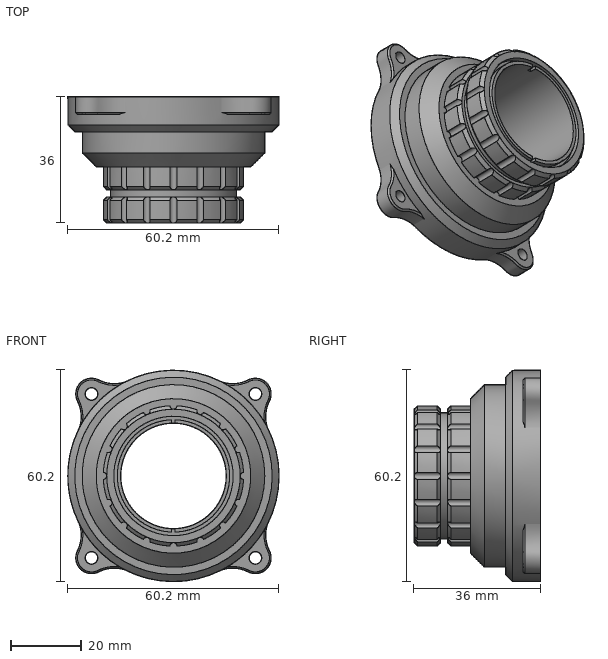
import cadquery as cq
import math

TOTAL_LENGTH = 36.0
BORE_RADIUS = 15.0

FLANGE_RADIUS = 30.1
FLANGE_LENGTH = 10.0
FLANGE_CHAMFER = 2.0
SHOULDER_RADIUS = 26.0
SHOULDER_LENGTH = 10.0
SHOULDER_CHAMFER = 4.0
SHOULDER_END = FLANGE_LENGTH + SHOULDER_LENGTH

GRIP_RADIUS = 20.0
GRIP_CHAMFER = 1.0
NECK_RADIUS = 18.0
NECK_START = 26.5
NECK_LENGTH = 2.0
NECK_END = NECK_START + NECK_LENGTH
FLUTE_COUNT = 16
FLUTE_RADIUS = 1.0

GROOVE_INNER_RADIUS = 16.0
GROOVE_OUTER_RADIUS = 17.0
GROOVE_DEPTH = 2.0
NOTCH_WIDTH = 1.0

LUG_PITCH_RADIUS = 33.0
LUG_COUNT = 4
LUG_RADIUS = 4.5
LUG_NECK_RADIUS = 10.0
LUG_ROOT_RADIUS = 30.0
LUG_INNER_RADIUS = 20.0
LUG_THICKNESS = 5.0
LUG_CHAMFER = 0.5
LUG_HOLE_DIAMETER = 3.5


def make_body():
    """Turned body; profile points are (radius, Y)."""
    grip_edge = GRIP_RADIUS - GRIP_CHAMFER
    profile = [
        (BORE_RADIUS, 0),
        (FLANGE_RADIUS, 0),
        (FLANGE_RADIUS, -(FLANGE_LENGTH - FLANGE_CHAMFER)),
        (FLANGE_RADIUS - FLANGE_CHAMFER, -FLANGE_LENGTH),
        (SHOULDER_RADIUS, -FLANGE_LENGTH),
        (SHOULDER_RADIUS, -(SHOULDER_END - SHOULDER_CHAMFER)),
        (SHOULDER_RADIUS - SHOULDER_CHAMFER, -SHOULDER_END),
        (GRIP_RADIUS, -SHOULDER_END),
        (GRIP_RADIUS, -(NECK_START - GRIP_CHAMFER)),
        (grip_edge, -NECK_START),
        (NECK_RADIUS, -NECK_START),
        (NECK_RADIUS, -NECK_END),
        (grip_edge, -NECK_END),
        (GRIP_RADIUS, -(NECK_END + GRIP_CHAMFER)),
        (GRIP_RADIUS, -(TOTAL_LENGTH - GRIP_CHAMFER)),
        (grip_edge, -TOTAL_LENGTH),
        (BORE_RADIUS, -TOTAL_LENGTH),
    ]
    return cq.Workplane("XY").polyline(profile).close().revolve(360, (0, 0, 0), (0, 1, 0))


def make_flutes():
    """Round-bottomed flutes along both grip bands."""
    return (
        cq.Workplane("XZ", origin=(0, -SHOULDER_END, 0))
        .polarArray(GRIP_RADIUS, 0, 360, FLUTE_COUNT)
        .circle(FLUTE_RADIUS)
        .extrude(TOTAL_LENGTH - SHOULDER_END)
    )


def make_notches():
    """Two opposite notches through the lip, above and below the bore, as deep as the groove."""
    return (
        cq.Workplane("XY")
        .box(NOTCH_WIDTH, GROOVE_DEPTH, 2 * GROOVE_INNER_RADIUS)
        .translate((0, GROOVE_DEPTH / 2 - TOTAL_LENGTH, 0))
    )


def polar_point(radius, angle):
    """Point in the XZ plane at an angle in radians from +X."""
    return (radius * math.cos(angle), radius * math.sin(angle))


def make_lug():
    """Lug in the +X +Z corner: round head with hollow necks tangent to a circle just inside the flange."""
    head_angle = math.pi / 4
    head_x, head_z = polar_point(LUG_PITCH_RADIUS, head_angle)
    tip = polar_point(LUG_PITCH_RADIUS + LUG_RADIUS, head_angle)

    centre_radius = LUG_ROOT_RADIUS + LUG_NECK_RADIUS
    reach = LUG_RADIUS + LUG_NECK_RADIUS
    neck_angle = head_angle + math.acos(
        (centre_radius**2 + LUG_PITCH_RADIUS**2 - reach**2) / (2 * centre_radius * LUG_PITCH_RADIUS)
    )
    neck_x, neck_z = polar_point(centre_radius, neck_angle)
    foot = polar_point(LUG_ROOT_RADIUS, neck_angle)
    low = (neck_x, neck_z - LUG_NECK_RADIUS)
    blend_share = LUG_RADIUS / reach
    blend = (head_x + (neck_x - head_x) * blend_share, head_z + (neck_z - head_z) * blend_share)
    inner = polar_point(LUG_INNER_RADIUS, head_angle)

    lug = (
        cq.Workplane("XZ")
        .moveTo(*inner)
        .lineTo(*foot)
        .threePointArc(low, blend)
        .threePointArc(tip, blend[::-1])
        .threePointArc(low[::-1], foot[::-1])
        .close()
        .extrude(LUG_THICKNESS)
        .faces("<Y")
        .chamfer(LUG_CHAMFER)
    )
    hole = cq.Workplane("XZ").center(head_x, head_z).circle(LUG_HOLE_DIAMETER / 2).extrude(LUG_THICKNESS)
    return lug.cut(hole)


def make_groove():
    """Annular groove in the nose face."""
    return (
        cq.Workplane("XZ", origin=(0, -TOTAL_LENGTH + GROOVE_DEPTH, 0))
        .circle(GROOVE_OUTER_RADIUS)
        .circle(GROOVE_INNER_RADIUS)
        .extrude(GROOVE_DEPTH)
    )


result = make_body().cut(make_flutes()).cut(make_groove()).cut(make_notches())

lug = make_lug()
for index in range(LUG_COUNT):
    result = result.union(lug.rotate((0, 0, 0), (0, 1, 0), index * 360 / LUG_COUNT))